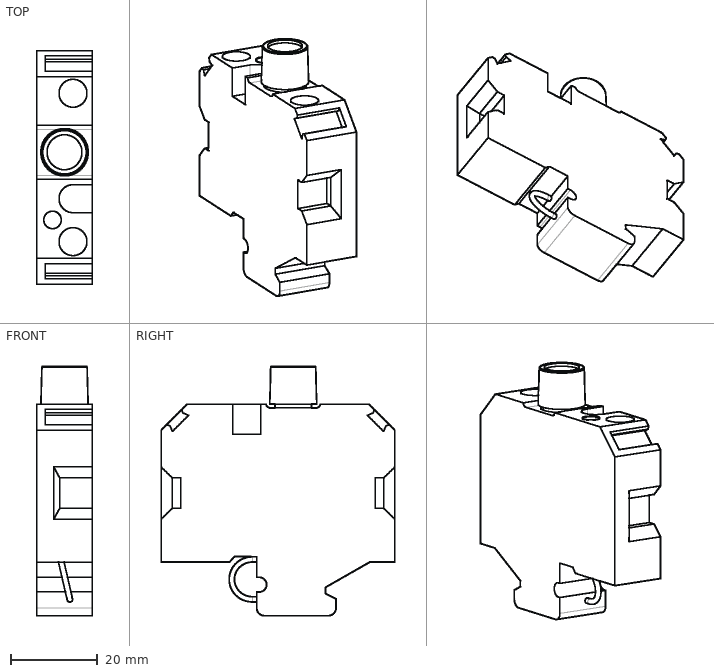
import cadquery as cq
import math


width = 12.9
length = 54.0
half_length = length / 2
housing_top = 48.95
total_height = 57.7
corner_chamfer = 6.0
lower_edge_z = 12.4

foot_front_y = -4.95
foot_back_y = 13.45
foot_corner_radius = 1.85
jaw_root_y = 11.0
jaw_root_top_z = 6.6
jaw_root_bottom_z = 5.15
jaw_tip_z = 3.9
slope_start_y = 21.25

undercut_top_z = 13.7
undercut_inner_y = -10.05
undercut_outer_y = -11.2

notch_radius = 1.7
notch_z = 7.2
notch_depth = 2.3

button_y = 3.5
recess_length = 12.5
recess_depth = 0.85
recess_fillet = 1.0
recess_floor_z = housing_top - recess_depth

hole_diameter = 6.45
hole_x = 8.4
screw_hole_y = 17.15
screw_hole_depth = 3.8
test_slot_y = -7.2
test_slot_depth = 6.9
marker_diameter = 4.05
marker_depth = 0.2
marker_x = 3.7
marker_y = -12.1

groove_start_x = 2.0
groove_mouth = 4.95
groove_throat = 4.2
groove_throat_depth = 0.75
groove_floor = 5.25
groove_depth = 2.1

pocket_start_x = 4.0
pocket_bottom_z = 22.35
pocket_top_z = 34.4
pocket_taper_depth = 2.6
pocket_depth = 4.5
pocket_side_inset = 1.4
pocket_end_inset = 2.55

neck_radius = 4.25
neck_well_radius = 4.9
neck_well_depth = 1.15
neck_bottom_z = recess_floor_z - neck_well_depth
cap_base_radius = 5.5
cap_top_radius = 5.25
cap_edge_chamfer = 0.25
dish_radius = 4.05
dish_depth = 0.7

wire_radius = 0.65
loop_radius = 4.75
loop_straight = 1.0
loop_x = 6.65
loop_z = 8.4
loop_tilt = 13.0


def housing_blank():
    """Side outline of the housing, extruded over its full width."""
    outline = (
        cq.Workplane("YZ")
        .moveTo(-half_length, lower_edge_z)
        .lineTo(-half_length, housing_top - corner_chamfer)
        .lineTo(-half_length + corner_chamfer, housing_top)
        .lineTo(half_length - corner_chamfer, housing_top)
        .lineTo(half_length, housing_top - corner_chamfer)
        .lineTo(half_length, lower_edge_z)
        .lineTo(slope_start_y, lower_edge_z)
        .lineTo(jaw_root_y, jaw_root_top_z)
        .lineTo(jaw_root_y, jaw_root_bottom_z)
        .lineTo(foot_back_y, jaw_tip_z)
        .lineTo(foot_back_y, 0)
        .lineTo(foot_front_y, 0)
        .lineTo(foot_front_y, undercut_top_z)
        .lineTo(undercut_inner_y, undercut_top_z)
        .lineTo(undercut_outer_y, lower_edge_z)
        .close()
    )
    blank = outline.extrude(width)
    return blank.faces("<Z").edges("|X").fillet(foot_corner_radius)


def foot_notch():
    """Slot with a round end, running across the front of the foot."""
    center_y = foot_front_y + notch_depth - notch_radius
    return (
        cq.Workplane("YZ")
        .moveTo(foot_front_y, notch_z - notch_radius)
        .lineTo(center_y, notch_z - notch_radius)
        .threePointArc((center_y + notch_radius, notch_z), (center_y, notch_z + notch_radius))
        .lineTo(foot_front_y, notch_z + notch_radius)
        .close()
        .extrude(width)
    )


def button_recess():
    """Shallow channel across the top, with concave arcs tangent to its floor."""
    half = recess_length / 2
    arc_angle = math.acos(1 - recess_depth / recess_fillet)
    arc_width = recess_fillet * math.sin(arc_angle)
    arc_mid_y = half - arc_width + recess_fillet * math.sin(arc_angle / 2)
    arc_mid_z = recess_floor_z + recess_fillet * (1 - math.cos(arc_angle / 2))
    return (
        cq.Workplane("YZ")
        .moveTo(button_y - half, housing_top)
        .threePointArc((button_y - arc_mid_y, arc_mid_z), (button_y - half + arc_width, recess_floor_z))
        .lineTo(button_y + half - arc_width, recess_floor_z)
        .threePointArc((button_y + arc_mid_y, arc_mid_z), (button_y + half, housing_top))
        .close()
        .extrude(width)
    )


def neck_well():
    """Round clearance well in the recess floor, wider than the button neck."""
    return (
        cq.Workplane("XY", origin=(width / 2, button_y, neck_bottom_z))
        .circle(neck_well_radius)
        .extrude(neck_well_depth)
    )


def round_hole(x, y, diameter, depth):
    """Blind hole sunk into the top face."""
    return cq.Workplane("XY", origin=(x, y, housing_top - depth)).circle(diameter / 2).extrude(depth)


def test_slot():
    """Round-ended slot in the top face, open to the +X side."""
    channel = (
        cq.Workplane("XY", origin=(hole_x, test_slot_y - hole_diameter / 2, housing_top - test_slot_depth))
        .rect(width - hole_x, hole_diameter, centered=False)
        .extrude(test_slot_depth)
    )
    return channel.union(round_hole(hole_x, test_slot_y, hole_diameter, test_slot_depth))


def label_groove():
    """Groove in the front corner chamfer, narrowing to a throat and widening again to its floor."""
    half_chamfer = corner_chamfer / 2
    across_chamfer = cq.Plane(
        origin=(groove_start_x, -half_length + half_chamfer, housing_top - half_chamfer),
        xDir=(0, 1, 1),
        normal=(1, 0, 0),
    )
    return (
        cq.Workplane(across_chamfer)
        .moveTo(-groove_mouth / 2, 0)
        .lineTo(-groove_throat / 2, -groove_throat_depth)
        .lineTo(-groove_floor / 2, -groove_depth)
        .lineTo(groove_floor / 2, -groove_depth)
        .lineTo(groove_throat / 2, -groove_throat_depth)
        .lineTo(groove_mouth / 2, 0)
        .close()
        .extrude(width - groove_start_x)
    )


def wire_pocket():
    """Funnel and straight pocket in the front end face, open to the +X side."""
    inner_x = pocket_start_x + pocket_side_inset
    inner_bottom_z = pocket_bottom_z + pocket_end_inset
    inner_top_z = pocket_top_z - pocket_end_inset
    mouth = [
        (pocket_start_x, pocket_bottom_z),
        (width, pocket_bottom_z),
        (width, pocket_top_z),
        (pocket_start_x, pocket_top_z),
    ]
    throat = [
        (inner_x, inner_bottom_z),
        (width, inner_bottom_z),
        (width, inner_top_z),
        (inner_x, inner_top_z),
    ]
    funnel = (
        cq.Workplane("XZ", origin=(0, -half_length, 0))
        .polyline(mouth)
        .close()
        .workplane(offset=-pocket_taper_depth)
        .polyline(throat)
        .close()
        .loft(ruled=True)
    )
    straight = (
        cq.Workplane("XZ", origin=(0, -half_length + pocket_taper_depth, 0))
        .polyline(throat)
        .close()
        .extrude(-(pocket_depth - pocket_taper_depth))
    )
    return funnel.union(straight)


def make_housing():
    """Terminal housing with all its openings."""
    body = housing_blank().cut(foot_notch()).cut(button_recess()).cut(neck_well()).cut(test_slot())
    body = body.cut(round_hole(marker_x, marker_y, marker_diameter, marker_depth))
    for y in (-screw_hole_y, screw_hole_y):
        body = body.cut(round_hole(hole_x, y, hole_diameter, screw_hole_depth))
    for end_feature in (label_groove(), wire_pocket()):
        body = body.cut(end_feature).cut(end_feature.mirror("XZ"))
    return body.solids()


def make_button():
    """Tapered cap with a dished top, on a neck that stands on the floor of its well."""
    return (
        cq.Workplane("XZ", origin=(width / 2, button_y, 0))
        .moveTo(0, neck_bottom_z)
        .lineTo(neck_radius, neck_bottom_z)
        .lineTo(neck_radius, housing_top)
        .lineTo(cap_base_radius, housing_top)
        .lineTo(cap_top_radius, total_height - cap_edge_chamfer)
        .lineTo(cap_top_radius - cap_edge_chamfer, total_height)
        .lineTo(dish_radius, total_height)
        .lineTo(dish_radius, total_height - dish_depth)
        .lineTo(0, total_height - dish_depth)
        .close()
        .revolve(360, (0, 0, 0), (0, 1, 0))
    )


def make_wire_loop():
    """U-shaped round wire whose two ends meet the front of the foot."""
    tilt = math.radians(loop_tilt)
    loop_plane = cq.Plane(
        origin=(loop_x, foot_front_y, loop_z),
        xDir=(0, -1, 0),
        normal=(-math.cos(tilt), 0, -math.sin(tilt)),
    )
    path = (
        cq.Workplane(loop_plane)
        .moveTo(0, loop_radius)
        .lineTo(loop_straight, loop_radius)
        .threePointArc((loop_straight + loop_radius, 0), (loop_straight, -loop_radius))
        .lineTo(0, -loop_radius)
    )
    start_x = loop_x - loop_radius * math.sin(tilt)
    start_z = loop_z + loop_radius * math.cos(tilt)
    section = cq.Workplane("XZ", origin=(start_x, foot_front_y, start_z)).circle(wire_radius)
    return section.sweep(path)


housing = make_housing()
button = make_button()
wire_loop = make_wire_loop()

result = cq.Compound.makeCompound([housing.val(), button.val(), wire_loop.val()])